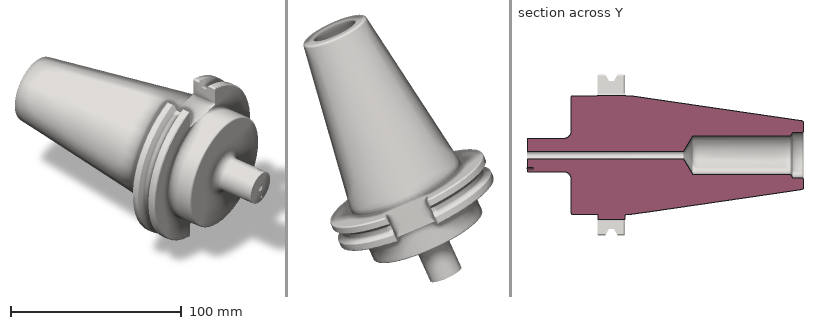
import cadquery as cq
import math

GAUGE_DIAMETER = 69.9
TAPER_LENGTH = 101.6
TAPER_RATIO = 7 / 24
TAPER_END_FILLET = 1.6

FLANGE_DIAMETER = 98.4
FLANGE_START = 104.7
FLANGE_END = 120.8
FLANGE_FRONT_FILLET = 1.0
FLANGE_REAR_FILLET = 0.7
FLANGE_ROOT_FILLET = 0.5
GROOVE_CENTRE = 112.7
GROOVE_DEPTH = 3.9
GROOVE_FLOOR_WIDTH = 3.0
GROOVE_FLANK_ANGLE = 30.0
GROOVE_ROOT_FILLET = 0.5

SLOT_WIDTH = 25.9
SLOT_FLOOR_HEIGHTS = {1: 35.1, -1: 37.7}
SLOT_FLOOR_FILLET = 0.8
SLOT_CHAMFER = 0.8

COLLAR_END = 136.6
COLLAR_FILLET = 1.0
SHANK_DIAMETER = 20.0
SHANK_END = 162.1
SHANK_ROOT_FILLET = 4.0

MOUTH_DIAMETER = 26.3
MOUTH_FILLET = 1.3
MOUTH_DEPTH = 6.5
MOUTH_ROOT_FILLET = 0.7
BORE_DIAMETER = 22.3
BORE_DEPTH = 65.0
DRILL_POINT_ANGLE = 118.0
COOLANT_HOLE_DIAMETER = 4.2

PIN_DIAMETER = 2.0
PIN_Y = 1.0
PIN_Z = -7.6
PIN_DEPTH = 3.3
PIN_TIP = 162.6

gauge_radius = GAUGE_DIAMETER / 2
flange_radius = FLANGE_DIAMETER / 2
shank_radius = SHANK_DIAMETER / 2
small_end_radius = gauge_radius - TAPER_LENGTH * TAPER_RATIO / 2


def revolve_about_x(profile):
    """Close an XZ profile and turn it into a solid of revolution about the X axis."""
    return profile.close().revolve(360, (0, 0, 0), (1, 0, 0))


def fillet_circle(body, x, radius, fillet):
    """Fillet the circular edge of the given radius that lies at x."""
    margin = 0.02
    selector = cq.selectors.BoxSelector(
        (x - margin, -radius - margin, -radius - margin),
        (x + margin, radius + margin, radius + margin),
        boundingbox=True,
    )
    edges = [e for e in body.edges(selector).vals() if abs(e.radius() - radius) < margin]
    return body.newObject(edges).fillet(fillet)


def turned_blank():
    blank = revolve_about_x(
        cq.Workplane("XZ")
        .lineTo(0, small_end_radius)
        .lineTo(TAPER_LENGTH, gauge_radius)
        .lineTo(FLANGE_START, gauge_radius)
        .lineTo(FLANGE_START, flange_radius)
        .lineTo(FLANGE_END, flange_radius)
        .lineTo(FLANGE_END, gauge_radius)
        .lineTo(COLLAR_END, gauge_radius)
        .lineTo(COLLAR_END, shank_radius)
        .lineTo(SHANK_END, shank_radius)
        .lineTo(SHANK_END, 0)
    )
    for x, radius, fillet in (
        (0, small_end_radius, TAPER_END_FILLET),
        (FLANGE_START, gauge_radius, FLANGE_ROOT_FILLET),
        (FLANGE_START, flange_radius, FLANGE_FRONT_FILLET),
        (FLANGE_END, flange_radius, FLANGE_REAR_FILLET),
        (FLANGE_END, gauge_radius, FLANGE_ROOT_FILLET),
        (COLLAR_END, gauge_radius, COLLAR_FILLET),
        (COLLAR_END, shank_radius, SHANK_ROOT_FILLET),
    ):
        blank = fillet_circle(blank, x, radius, fillet)
    return blank


def groove_ring():
    floor_radius = flange_radius - GROOVE_DEPTH
    half_floor = GROOVE_FLOOR_WIDTH / 2
    half_opening = half_floor + GROOVE_DEPTH * math.tan(math.radians(GROOVE_FLANK_ANGLE))
    ring = revolve_about_x(
        cq.Workplane("XZ")
        .moveTo(GROOVE_CENTRE - half_opening, flange_radius)
        .lineTo(GROOVE_CENTRE - half_floor, floor_radius)
        .lineTo(GROOVE_CENTRE + half_floor, floor_radius)
        .lineTo(GROOVE_CENTRE + half_opening, flange_radius)
    )
    for side in (-1, 1):
        ring = fillet_circle(ring, GROOVE_CENTRE + side * half_floor, floor_radius, GROOVE_ROOT_FILLET)
    return ring


def drive_slot(side, floor_height):
    """Slot cutter on the +Z (side = 1) or -Z (side = -1) side of the flange."""
    half_width = SLOT_WIDTH / 2
    half_flared = half_width + SLOT_CHAMFER
    rim_height = math.sqrt(flange_radius**2 - half_flared**2)
    channel_length = FLANGE_END - FLANGE_START + 2 * FLANGE_ROOT_FILLET
    channel = (
        cq.Workplane("XY", origin=(0, 0, floor_height))
        .moveTo((FLANGE_START + FLANGE_END) / 2, 0)
        .rect(channel_length, SLOT_WIDTH)
        .extrude(flange_radius - floor_height)
        .edges("|X and <Z")
        .fillet(SLOT_FLOOR_FILLET)
    )
    rim_flare = (
        cq.Workplane("YZ", origin=(FLANGE_START, 0, 0))
        .moveTo(-half_width, rim_height - SLOT_CHAMFER)
        .lineTo(half_width, rim_height - SLOT_CHAMFER)
        .lineTo(half_flared, rim_height)
        .lineTo(half_flared, flange_radius)
        .lineTo(-half_flared, flange_radius)
        .lineTo(-half_flared, rim_height)
        .close()
        .extrude(FLANGE_END - FLANGE_START)
    )
    front_flare = (
        cq.Workplane("XY", origin=(FLANGE_START, 0, floor_height + SLOT_FLOOR_FILLET))
        .moveTo(0, half_flared)
        .lineTo(half_flared, 0)
        .lineTo(0, -half_flared)
        .close()
        .extrude(flange_radius - floor_height)
    )
    slot = channel.union(rim_flare).union(front_flare)
    return slot if side > 0 else slot.mirror("XY")


def stepped_bore():
    mouth_radius = MOUTH_DIAMETER / 2
    bore_radius = BORE_DIAMETER / 2
    hole_radius = COOLANT_HOLE_DIAMETER / 2
    point_slope = math.tan(math.radians(DRILL_POINT_ANGLE / 2))
    point_end = BORE_DEPTH + (bore_radius - hole_radius) / point_slope
    bore = revolve_about_x(
        cq.Workplane("XZ")
        .lineTo(0, mouth_radius + MOUTH_FILLET)
        .radiusArc((MOUTH_FILLET, mouth_radius), -MOUTH_FILLET)
        .lineTo(MOUTH_DEPTH, mouth_radius)
        .lineTo(MOUTH_DEPTH + (mouth_radius - bore_radius) / point_slope, bore_radius)
        .lineTo(BORE_DEPTH, bore_radius)
        .lineTo(point_end, hole_radius)
        .lineTo(SHANK_END, hole_radius)
        .lineTo(SHANK_END, 0)
    )
    return fillet_circle(bore, MOUTH_DEPTH, mouth_radius, MOUTH_ROOT_FILLET)


def end_pin():
    pin_start = SHANK_END - PIN_DEPTH
    return (
        cq.Workplane("YZ", origin=(pin_start, PIN_Y, PIN_Z))
        .circle(PIN_DIAMETER / 2)
        .extrude(PIN_TIP - pin_start)
    )


def tool_holder(pin):
    holder = turned_blank().cut(groove_ring())
    for side, floor_height in SLOT_FLOOR_HEIGHTS.items():
        holder = holder.cut(drive_slot(side, floor_height))
    return holder.cut(stepped_bore()).cut(pin)


pin = end_pin()
holder = tool_holder(pin)
result = cq.Compound.makeCompound([holder.val(), pin.val()])